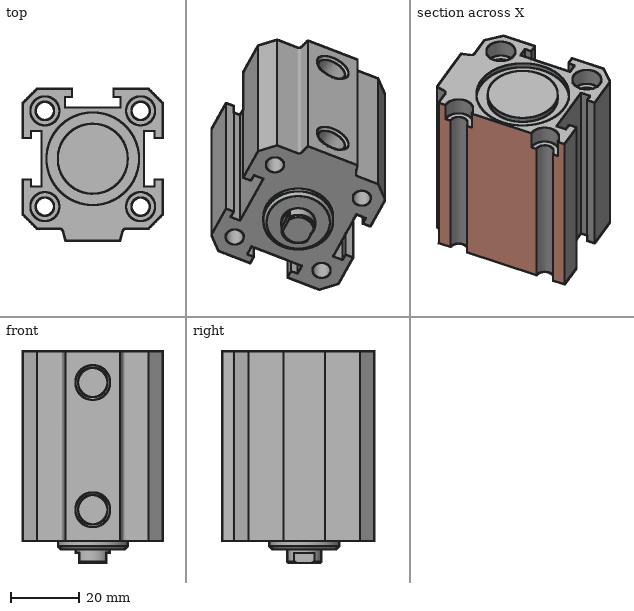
import cadquery as cq
import math

side = 41.0
half_side = side / 2
height = 55.5
across_corners = 52.0
corner_chamfer = side - across_corners / math.sqrt(2)

pad_height = 3.5
pad_face_width = 16.0
pad_flank_angle = 15.0
pad_root_fillet = 1.0
pad_face_y = -half_side - pad_height

slot_mouth_width = 12.0
slot_inner_width = 16.2
slot_lip = 2.5
slot_depth = 5.5

mount_spacing = 28.0
mount_diameter = 5.3
counterbore_diameter = 8.5
counterbore_depth = 5.5

groove_outer_diameter = 27.1
groove_inner_diameter = 20.5
groove_depth = 1.6

port_diameter = 8.57
port_depth = 8.0
port_chamfer = 0.8
port_end_distance = 9.15

collar_diameter = 20.5
collar_height = 2.5
collar_chamfer = 1.0

rod_diameter = 10.0
rod_exposed_length = 4.0
rod_tip_z = -collar_height - rod_exposed_length
rod_tip_chamfer = 0.5
rod_insertion = 10.0
flat_spacing = 8.0
flat_length = 3.0


def make_block():
    """Chamfered square block with the sloped pad on its -Y face."""
    block = cq.Workplane("XY").rect(side, side).extrude(height)
    block = block.edges("|Z").chamfer(corner_chamfer)

    half_face = pad_face_width / 2
    half_root = half_face + pad_height * math.tan(math.radians(pad_flank_angle))
    pad = (
        cq.Workplane("XY")
        .moveTo(-half_face, pad_face_y)
        .lineTo(half_face, pad_face_y)
        .lineTo(half_root, -half_side)
        .lineTo(half_root, 0)
        .lineTo(-half_root, 0)
        .lineTo(-half_root, -half_side)
        .close()
        .extrude(height)
    )
    block = block.union(pad)
    root_edges = [
        block.edges(cq.selectors.NearestToPointSelector((x, -half_side, height / 2))).val()
        for x in (-half_root, half_root)
    ]
    return block.newObject(root_edges).fillet(pad_root_fillet)


def make_slot(angle):
    """T-slot cutter for the +X face, turned about Z by the given angle."""
    mouth = (
        cq.Workplane("XY")
        .center(half_side - slot_depth / 2, 0)
        .rect(slot_depth, slot_mouth_width)
    )
    inner_depth = slot_depth - slot_lip
    inner = (
        cq.Workplane("XY")
        .center(half_side - slot_lip - inner_depth / 2, 0)
        .rect(inner_depth, slot_inner_width)
    )
    slot = mouth.extrude(height).union(inner.extrude(height))
    return slot.rotate((0, 0, 0), (0, 0, 1), angle)


def make_port(z):
    """Blind port cutter with a conical mouth, entering from the pad face toward +Y."""
    radius = port_diameter / 2
    face = cq.Workplane("XZ", origin=(0, pad_face_y, z))
    bore = face.circle(radius).extrude(-port_depth)
    mouth = cq.Solid.makeCone(
        radius + port_chamfer,
        radius,
        port_chamfer,
        pnt=cq.Vector(0, pad_face_y, z),
        dir=cq.Vector(0, 1, 0),
    )
    return bore.union(cq.Workplane(mouth))


def make_housing():
    """Slotted block with its holes, ring groove, ports and bottom collar."""
    housing = make_block()
    for angle in (0, 90, 180):
        housing = housing.cut(make_slot(angle))

    housing = (
        housing.faces(">Z")
        .workplane(origin=(0, 0, height))
        .rect(mount_spacing, mount_spacing, forConstruction=True)
        .vertices()
        .cboreHole(mount_diameter, counterbore_diameter, counterbore_depth)
    )

    groove = (
        cq.Workplane("XY", origin=(0, 0, height - groove_depth))
        .circle(groove_outer_diameter / 2)
        .circle(groove_inner_diameter / 2)
        .extrude(groove_depth)
    )
    housing = housing.cut(groove)

    for z in (port_end_distance, height - port_end_distance):
        housing = housing.cut(make_port(z))

    collar = cq.Workplane("XY").circle(collar_diameter / 2).extrude(-collar_height)
    collar = collar.faces("<Z").edges().chamfer(collar_chamfer)
    housing = housing.union(collar)

    rod_hole = (
        cq.Workplane("XY", origin=(0, 0, -collar_height))
        .circle(rod_diameter / 2)
        .extrude(collar_height + rod_insertion)
    )
    return housing.cut(rod_hole)


def make_rod():
    """Round rod filling the blind hole in the housing, with flats below the collar."""
    rod = (
        cq.Workplane("XY", origin=(0, 0, rod_tip_z))
        .circle(rod_diameter / 2)
        .extrude(rod_insertion - rod_tip_z)
    )
    rod = rod.faces("<Z").edges().chamfer(rod_tip_chamfer)

    cut_width = (rod_diameter - flat_spacing) / 2
    for direction in (-1, 1):
        flat = (
            cq.Workplane("XY", origin=(direction * (flat_spacing + cut_width) / 2, 0, rod_tip_z))
            .rect(cut_width, rod_diameter)
            .extrude(flat_length)
        )
        rod = rod.cut(flat)
    return rod


housing = make_housing()
rod = make_rod()

result = cq.Compound.makeCompound([housing.val(), rod.val()])